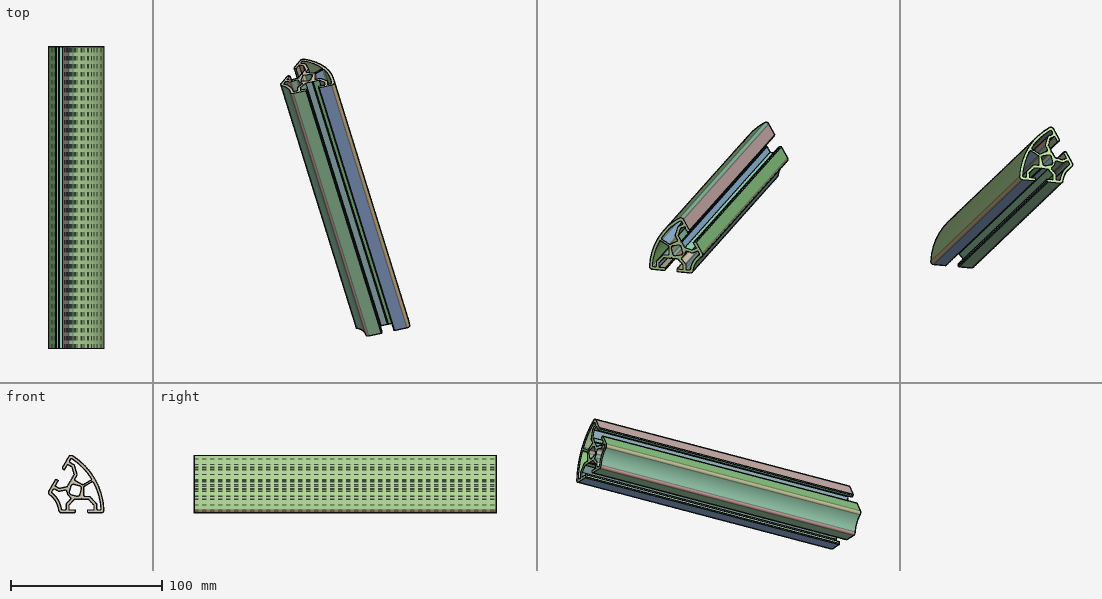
import cadquery as cq
import math

length = 200.0
sector_angle = 60.0
axis_angle = sector_angle / 2
inner_radius = 15.0
outer_radius = 45.0
middle_radius = (inner_radius + outer_radius) / 2
corner_radius = 2.0
wall = 2.0

slot_opening = 8.0
slot_lip = 2.0
slot_width = 16.5
slot_side_height = 5.2
slot_floor_width = 9.2
slot_depth = 9.0
lip_chamfer = 0.5
groove_width = 0.8
groove_depth = 0.5

slot_wall = 2.0
rib_thickness = 1.5
core_wall_x = 31.5
core_wall_radius = 24.2
inner_cavity_corner = (23.2, 9.5)
cavity_fillet = 0.8
inner_cavity_fillet = 0.8

core_side = 7.0
core_fillet = 1.5
core_rotation = axis_angle + 45

side_slant = math.atan2(slot_depth - slot_side_height, (slot_width - slot_floor_width) / 2)
wall_half_width = slot_width / 2 + slot_wall
wall_side_height = slot_side_height + slot_wall * math.tan((math.pi / 2 - side_slant) / 2)
wall_floor_height = slot_depth + slot_wall
wall_floor_half_width = slot_floor_width / 2 + slot_wall * math.tan(side_slant / 2)


def polar(radius, degrees):
    angle = math.radians(degrees)
    return (radius * math.cos(angle), radius * math.sin(angle))


def mirrored_point(point):
    """Reflect a section point in the bisector."""
    radius = math.hypot(*point)
    degrees = math.degrees(math.atan2(point[1], point[0]))
    return polar(radius, sector_angle - degrees)


def along_axis(along, below):
    """Section point at a distance along the bisector and a distance below it."""
    x, z = polar(along, axis_angle)
    dx, dz = polar(below, axis_angle - 90)
    return (x + dx, z + dz)


def on_arc(radius, height):
    """Point of a circle about the apex at a height above the flat face."""
    return (math.sqrt(radius**2 - height**2), height)


def section():
    return cq.Workplane("XZ")


def extruded(outline):
    return outline.close().extrude(-length)


def mirrored(body):
    """Reflect a body in the bisector plane."""
    return body.mirror("XY").rotate((0, 0, 0), (0, 1, 0), -sector_angle)


def ring_sector():
    outline = (
        section()
        .moveTo(inner_radius, 0)
        .lineTo(outer_radius, 0)
        .threePointArc(polar(outer_radius, axis_angle), polar(outer_radius, sector_angle))
        .lineTo(*polar(inner_radius, sector_angle))
        .threePointArc(polar(inner_radius, axis_angle), (inner_radius, 0))
    )
    return extruded(outline).edges("|Y").fillet(corner_radius)


def slot():
    half_opening = slot_opening / 2
    right = [
        (half_opening + lip_chamfer, 0),
        (half_opening, lip_chamfer),
        (half_opening, slot_lip),
        (slot_width / 2, slot_lip),
        (slot_width / 2, slot_side_height),
        (slot_floor_width / 2, slot_depth),
        (groove_width / 2, slot_depth),
    ]
    groove_tip = [(0, slot_depth + groove_depth)]
    left = [(-x, z) for x, z in reversed(right)]
    points = [(middle_radius + x, z) for x, z in right + groove_tip + left]
    return extruded(section().polyline(points))


def outer_cavity():
    """Cavity between the slot, the core, the rib and the outer curved wall."""
    arc_radius = outer_radius - wall
    half_rib = rib_thickness / 2
    rib_outer_end = along_axis(math.sqrt(arc_radius**2 - half_rib**2), half_rib)
    edge_x = along_axis(0, half_rib)[0]
    rib_core_end = along_axis((core_wall_x - edge_x) / math.cos(math.radians(axis_angle)), half_rib)
    outline = (
        section()
        .moveTo(middle_radius + wall_half_width, slot_lip)
        .lineTo(*on_arc(arc_radius, slot_lip))
        .threePointArc(polar(arc_radius, axis_angle / 2), rib_outer_end)
        .lineTo(*rib_core_end)
        .lineTo(core_wall_x, wall_floor_height)
        .lineTo(middle_radius + wall_floor_half_width, wall_floor_height)
        .lineTo(middle_radius + wall_half_width, wall_side_height)
    )
    return extruded(outline).edges("|Y").fillet(cavity_fillet)


def inner_cavity():
    """Cavity across the bisector between both slots, the core and the inner curved wall."""
    arc_radius = inner_radius + wall
    arc_start = on_arc(arc_radius, slot_lip)
    lower = [
        arc_start,
        (middle_radius - wall_half_width, slot_lip),
        (middle_radius - wall_half_width, wall_side_height),
        inner_cavity_corner,
    ]
    upper = [mirrored_point(point) for point in reversed(lower)]
    core_wall_point = polar(core_wall_radius, axis_angle)
    outline = (
        section()
        .polyline(lower + [core_wall_point] + upper)
        .threePointArc(polar(arc_radius, axis_angle), arc_start)
    )
    return extruded(outline).edges("|Y").fillet(inner_cavity_fillet)


def core_hole():
    x, z = polar(middle_radius, axis_angle)
    hole = section().rect(core_side, core_side).extrude(-length).edges("|Y").fillet(core_fillet)
    return hole.rotate((0, 0, 0), (0, 1, 0), -core_rotation).translate((x, 0, z))


profile = ring_sector()
for cutter in (slot(), outer_cavity()):
    profile = profile.cut(cutter).cut(mirrored(cutter))
result = profile.cut(inner_cavity()).cut(core_hole())